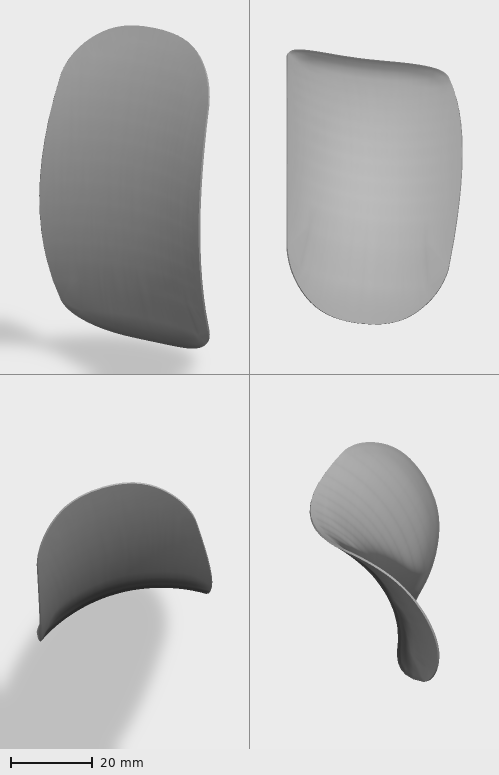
import cadquery as cq
import math

length = 84.7
width = 43.95
thickness = 0.5
bend_radius = 77.05
cross_radius = 37.25
center_y = -2.45

shoulder_x = 20.2
shoulder_z = 30.5
corner_x = 15.2
corner_z = 38.3
shoulder_slope = 0.2

margin = 4.2
half_width = width / 2
half_length = length / 2
tip_z = half_length / (1 + thickness / bend_radius)
sweep_angle = 120.0


def back_surface():
    """Saddle-shaped face: the lengthwise arc revolved about an axis parallel to Z."""
    reach = half_length + margin
    rise = bend_radius - math.sqrt(bend_radius**2 - reach**2)
    arc = cq.Edge.makeThreePointArc(
        cq.Vector(0, center_y + rise, -reach),
        cq.Vector(0, center_y, 0),
        cq.Vector(0, center_y + rise, reach),
    )
    axis_y = center_y - cross_radius
    axis_start = cq.Vector(0, axis_y, 0)
    axis_end = cq.Vector(0, axis_y, 0.85)
    profile = cq.Wire.assembleEdges([arc]).rotate(axis_start, axis_end, -sweep_angle / 2)
    return cq.occ_impl.shapes.revolve(profile, axis_start, axis_end - axis_start, sweep_angle)


def rim_prism():
    """Prism along Y with bowed long sides and rounded ends."""
    depth = length
    rim = cq.Workplane("XZ", origin=(0, depth / 2, 0)).moveTo(shoulder_x, -shoulder_z)
    for turn in (1, -1):
        rim = (
            rim.threePointArc((turn * half_width, 0), (turn * shoulder_x, turn * shoulder_z))
            .spline(
                [(turn * corner_x, turn * corner_z), (0, turn * tip_z)],
                tangents=[(-turn * shoulder_slope, turn), (-turn, 0)],
                includeCurrent=True,
            )
            .spline(
                [(-turn * corner_x, turn * corner_z), (-turn * shoulder_x, turn * shoulder_z)],
                tangents=[(-turn, 0), (-turn * shoulder_slope, -turn)],
                includeCurrent=True,
            )
        )
    return rim.close().extrude(depth).val()


trimmed = back_surface().intersect(rim_prism())
shell = trimmed.Faces()[0].thicken(-thickness)
result = cq.Workplane("XY").newObject([shell])